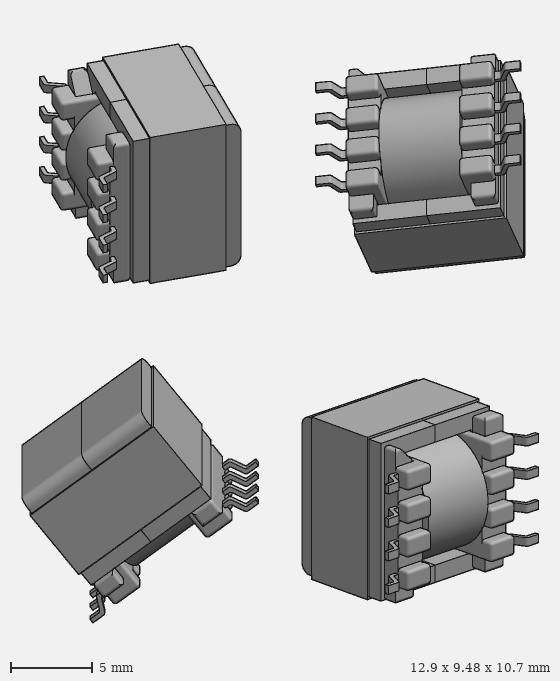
import cadquery as cq
import math


core_half_x = 4.64
core_half_z = 5.18
core_front_y = -1.79
core_back_y = core_half_z
core_back_radius = 0.7
pocket_radius = 4.04
post_radius = 1.65

tape_thickness_x = 0.14
tape_thickness_z = 0.15
tape_front_y = -0.73
tape_back_y = 4.17

edge_radius = 0.22
tube_radius = 2.06
flange_inner_x = 2.55
flange_outer_x = 3.07
flange_half_z = 3.95
bar_outer_x = 4.6
bar_half_z = 5.05
bar_back_y = -1.93
bar_front_y = -3.03
bar_corner_chamfer = 1.1
base_front_y = -3.28
block_front_y = -4.13
block_height = 1.3

leads_per_side = 4
lead_pitch = (2 * flange_half_z - block_height) / (leads_per_side - 1)
lead_width = 0.57
lead_thickness = 0.3
lead_tip_x = 6.43
lead_root_x = bar_outer_x - 2 * edge_radius
lead_arm_y = -3.0
lead_foot_y = -4.3
lead_bend_x = 5.0
lead_slope_run = 0.48
lead_inner_bend_radius = 0.13
lead_outer_bend_radius = 0.22

winding_radius = 3.83


def box_between(x_range, y_range, z_range):
    """Box given by its lower and upper limits along each axis."""
    size = [high - low for low, high in (x_range, y_range, z_range)]
    corner = (x_range[0], y_range[0], z_range[0])
    return cq.Workplane("XY").box(*size, centered=False).translate(corner)


def cylinder_along_x(radius, x_start, x_end):
    return cq.Workplane("YZ").workplane(offset=x_start).circle(radius).extrude(x_end - x_start)


def u_plate(radius, front_y, x_start, x_end):
    """Plate across X: a half disc toward +Y with straight sides running to front_y."""
    return (
        cq.Workplane("YZ")
        .workplane(offset=x_start)
        .moveTo(front_y, -radius)
        .lineTo(0, -radius)
        .threePointArc((radius, 0), (0, radius))
        .lineTo(front_y, radius)
        .close()
        .extrude(x_end - x_start)
    )


def round_corners(prism, corners, radius):
    """Fillet the Z edges that pass through the given XY corners, centred on Z = 0."""
    for x, y in corners:
        prism = prism.edges(cq.selectors.NearestToPointSelector((x, y, 0))).fillet(radius)
    return prism


def on_side(shape, side):
    """Shape as built on the +X side, or mirrored to -X when side is -1."""
    return shape if side > 0 else shape.mirror("YZ")


def make_core_half(side):
    body = box_between((0, core_half_x), (core_front_y, core_back_y), (-core_half_z, core_half_z))
    body = body.edges("|X and >Y").fillet(core_back_radius)
    body = body.cut(u_plate(pocket_radius, core_front_y, 0, flange_outer_x))
    post = cylinder_along_x(post_radius, 0, flange_outer_x)
    return on_side(body.union(post), side)


def make_tape():
    outer_x = core_half_x + tape_thickness_x
    outer_z = core_half_z + tape_thickness_z
    y_range = (tape_front_y, tape_back_y)
    band = box_between((-outer_x, outer_x), y_range, (-outer_z, outer_z))
    opening = box_between((-core_half_x, core_half_x), y_range, (-core_half_z, core_half_z))
    return band.cut(opening)


def make_winding():
    coil = cylinder_along_x(winding_radius, -flange_inner_x, flange_inner_x)
    return coil.cut(cylinder_along_x(tube_radius, -flange_inner_x, flange_inner_x))


def make_flange():
    plate = u_plate(flange_half_z, bar_front_y, flange_inner_x, flange_outer_x)
    return plate.faces("<X").edges("not <Y").fillet(edge_radius)


def make_terminal_bar(has_corner_chamfer):
    bar = box_between(
        (flange_outer_x, bar_outer_x), (bar_front_y, bar_back_y), (-bar_half_z, bar_half_z)
    )
    if has_corner_chamfer:
        bar = bar.edges("|Y and <X and >Z").chamfer(bar_corner_chamfer)
    bar = bar.edges("|Z and >X and >Y").fillet(edge_radius)
    return bar.faces(">Z or <Z").edges().fillet(edge_radius)


def make_block_base():
    base = box_between(
        (flange_inner_x, bar_outer_x), (base_front_y, bar_front_y), (-flange_half_z, flange_half_z)
    )
    return base.edges("|Y").fillet(edge_radius)


def make_block():
    block = box_between(
        (flange_inner_x, bar_outer_x),
        (block_front_y, bar_front_y),
        (-block_height / 2, block_height / 2),
    )
    return block.edges("|Y or <Y").fillet(edge_radius)


def make_lead():
    arm_front_y = lead_arm_y - lead_thickness
    slope_angle = math.atan2(arm_front_y - lead_foot_y, lead_slope_run)
    miter = lead_thickness * math.tan(slope_angle / 2)
    front_bend = (lead_bend_x, arm_front_y)
    front_heel = (lead_bend_x + lead_slope_run, lead_foot_y)
    back_bend = (front_bend[0] + miter, lead_arm_y)
    back_heel = (front_heel[0] + miter, lead_foot_y + lead_thickness)
    outline = [
        (lead_root_x, arm_front_y),
        front_bend,
        front_heel,
        (lead_tip_x, lead_foot_y),
        (lead_tip_x, back_heel[1]),
        back_heel,
        back_bend,
        (lead_root_x, lead_arm_y),
    ]
    lead = cq.Workplane("XY").polyline(outline).close().extrude(lead_width / 2, both=True)
    lead = round_corners(lead, [front_bend, back_heel], lead_inner_bend_radius)
    return round_corners(lead, [front_heel, back_bend], lead_outer_bend_radius)


def make_terminal_side(side):
    """Flange, terminal bar, blocks and leads at one end; only the -X bar has a cut corner."""
    end = make_flange().union(make_terminal_bar(side < 0)).union(make_block_base())
    first_z = -lead_pitch * (leads_per_side - 1) / 2
    for index in range(leads_per_side):
        offset = (0, 0, first_z + index * lead_pitch)
        end = end.union(make_block().translate(offset)).union(make_lead().translate(offset))
    return on_side(end, side)


def make_bobbin():
    bobbin = cylinder_along_x(tube_radius, -flange_outer_x, flange_outer_x)
    for side in (-1, 1):
        bobbin = bobbin.union(make_terminal_side(side))
    return bobbin.cut(cylinder_along_x(post_radius, -flange_outer_x, flange_outer_x))


core_halves = [make_core_half(side) for side in (-1, 1)]
tape = make_tape()
bobbin = make_bobbin()
winding = make_winding()

result = cq.Compound.makeCompound(
    [*(half.val() for half in core_halves), tape.val(), bobbin.val(), winding.val()]
)